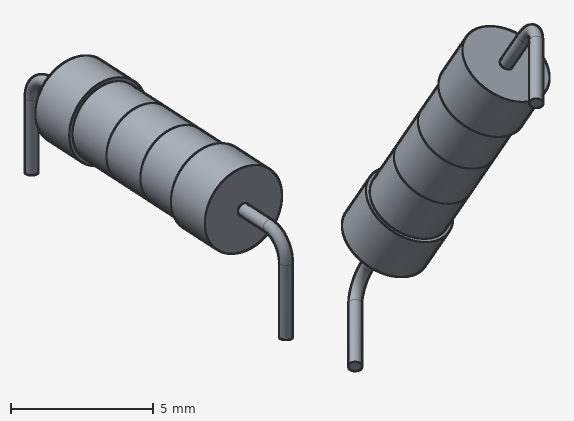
import cadquery as cq

OVERALL_LENGTH = 15.5
WIRE_DIAMETER = 0.5
CAP_DIAMETER = 3.4
BAND_DIAMETER = 3.1
SEGMENT_LENGTH = 2.0
BAND_COUNT = 3
OVERALL_HEIGHT = 5.7
BEND_RADIUS = 1.0

BANDS_LENGTH = BAND_COUNT * SEGMENT_LENGTH
CAP_INNER_X = BANDS_LENGTH / 2
CAP_OUTER_X = CAP_INNER_X + SEGMENT_LENGTH
LEG_X = (OVERALL_LENGTH - WIRE_DIAMETER) / 2
BEND_START_X = LEG_X - BEND_RADIUS
LEG_BOTTOM_Z = CAP_DIAMETER / 2 - OVERALL_HEIGHT


def cylinder_along_x(start_x, length, diameter):
    return cq.Workplane("YZ", origin=(start_x, 0, 0)).circle(diameter / 2).extrude(length)


def make_lead():
    """Wire leaving the +X cap face and bending down into a vertical leg."""
    straight = cylinder_along_x(CAP_OUTER_X, BEND_START_X - CAP_OUTER_X, WIRE_DIAMETER)
    bend = (
        cq.Workplane("YZ", origin=(BEND_START_X, 0, 0))
        .circle(WIRE_DIAMETER / 2)
        .revolve(90, (0, -BEND_RADIUS, 0), (1, -BEND_RADIUS, 0))
    )
    leg = (
        cq.Workplane("XY", origin=(LEG_X, 0, LEG_BOTTOM_Z))
        .circle(WIRE_DIAMETER / 2)
        .extrude(-BEND_RADIUS - LEG_BOTTOM_Z)
    )
    return straight.union(bend).union(leg)


def make_terminal():
    """End cap and its lead, one solid, at the +X end."""
    cap = cylinder_along_x(CAP_INNER_X, SEGMENT_LENGTH, CAP_DIAMETER)
    return cap.union(make_lead())


def make_band(index):
    """One section of the resistor body, counted from the -X end."""
    start_x = -BANDS_LENGTH / 2 + index * SEGMENT_LENGTH
    return cylinder_along_x(start_x, SEGMENT_LENGTH, BAND_DIAMETER)


bands = [make_band(index).val() for index in range(BAND_COUNT)]

terminals = []
for angle in (0, 180):
    terminals.append(make_terminal().rotate((0, 0, 0), (0, 0, 1), angle).solids().val())

result = cq.Compound.makeCompound([*bands, *terminals])